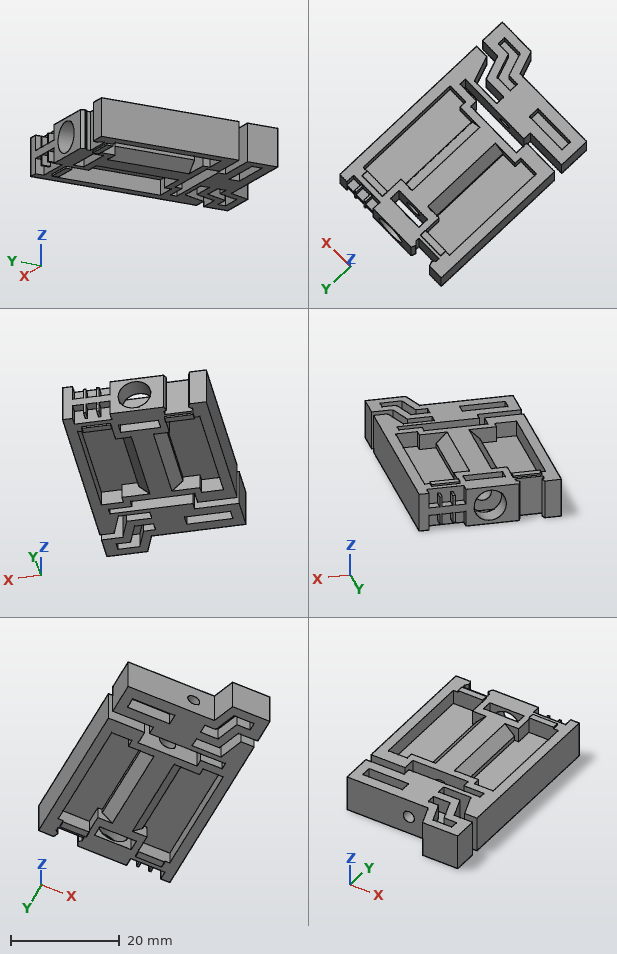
import cadquery as cq
import math


width = 27.0
length = 41.5
total_height = 8.2
pad_height = 0.353
thickness = total_height - 2 * pad_height
half_width = width / 2
half_thickness = thickness / 2

pocket_depth = 3.0
side_wall = 2.05

pocket_outer = half_width - side_wall
pocket_front = 15.27
pocket_back = 37.45
ridge_front = 16.72
ridge_back = 33.95
ridge_half_width = 4.15
ridge_chamfer = 2.08
head_half_width = 5.05
foot_half_width = 7.35

pad_outer = 10.45
pad_length = 1.3

nut_slot_width = 7.5
nut_slot_front = 35.7
nut_slot_back = 37.85
arm_bore_diameter = 2.4
ridge_bore_diameter = 3.3
back_bore_diameter = 6.1

gap_half_width = 6.05
gap_back = 15.2
gap_left_back = 12.55
gap_left_front = 10.75
arm_step_x = -5.15
arm_back = 12.35
gap_right_back = 13.7
gap_right_end = 10.45

slant_tangent = math.tan(math.radians(20))
arm_front = 4.35
arm_slant_x = 4.25
band_left = 3.15
groove_slants = (1.8, 3.78)
hook_gap_slants = (5.5, 7.4)
groove_upper_leg = (6.1, 7.9)
groove_lower_leg = (1.75, 3.35)
groove_right = 11.1
hook_gap_upper_leg = (9.6, 11.37)
hook_gap_lower_leg = (5.05, 6.55)

arm_recess_right = -2.82
arm_recess_front = 6.55
arm_recess_back = 8.7

notch_x = -7.93
notch_mouth = (2.45, 0.0)
notch_nibs = ((2.1, 0.8), (2.1, 1.0))
notch_shoulder = (2.65, 1.45)
notch_depth = 2.2

channel_left = 4.6
channel_width = 2.05
channel_rib = 0.45
channel_count = 3
channel_length = 1.75
rib_drop = 1.0


def box_between(x_range, y_range, z_range):
    size = [end - start for start, end in (x_range, y_range, z_range)]
    return cq.Workplane("XY").box(*size, centered=False).translate((x_range[0], y_range[0], z_range[0]))


def prism(points, z_range):
    bottom, top = z_range
    return cq.Workplane("XY").workplane(offset=bottom).polyline(points).close().extrude(top - bottom)


def mirrored(points):
    """Close a right-hand outline with its reflection in the YZ plane."""
    return points + [(-x, y) for x, y in reversed(points)]


def slant_point(y, offset):
    return (arm_slant_x + offset + (arm_front - y) * slant_tangent, y)


def jogged_band(x_right, upper_leg, lower_leg, slants, z_range):
    """Band with a left leg, a slanted middle and a right leg nearer the front."""
    upper_front, upper_back = upper_leg
    lower_front, lower_back = lower_leg
    front_slant, back_slant = slants
    outline = [
        (band_left, upper_front),
        slant_point(upper_front, front_slant),
        slant_point(lower_front, front_slant),
        (x_right, lower_front),
        (x_right, lower_back),
        slant_point(lower_back, back_slant),
        slant_point(upper_back, back_slant),
        (band_left, upper_back),
    ]
    return prism(outline, z_range)


def y_cylinder(diameter, front, back):
    return cq.Workplane("XZ", origin=(0, front, 0)).circle(diameter / 2).extrude(front - back)


through = (-half_thickness, half_thickness)
upper_recess = (half_thickness - pocket_depth, half_thickness)


def make_block():
    outline = [
        (-half_width, arm_front),
        slant_point(arm_front, 0),
        slant_point(0, 0),
        (half_width, 0),
        (half_width, length),
        (-half_width, length),
    ]
    return prism(outline, through)


def make_flex_gap():
    outline = [
        (-half_width, gap_left_front),
        (arm_step_x, gap_left_front),
        (arm_step_x, arm_back),
        (gap_right_end, arm_back),
        (gap_right_end, gap_right_back),
        (gap_half_width, gap_right_back),
        (gap_half_width, gap_back),
        (-gap_half_width, gap_back),
        (-gap_half_width, gap_left_back),
        (-half_width, gap_left_back),
    ]
    return prism(outline, through)


def make_notch():
    side = [notch_mouth, *notch_nibs, notch_shoulder, (notch_shoulder[0], notch_depth)]
    outline = mirrored([(x, -depth) for x, depth in side])
    return prism(outline, through).translate((notch_x, length, 0))


def make_main_pockets():
    floor, top = upper_recess
    outline = [
        (foot_half_width, pocket_front),
        (pocket_outer, pocket_front),
        (pocket_outer, pocket_back),
        (head_half_width, pocket_back),
        (head_half_width, ridge_back),
        (ridge_half_width, ridge_back),
        (ridge_half_width, ridge_front),
        (foot_half_width, ridge_front),
    ]
    chamfer = (
        cq.Workplane("XZ", origin=(0, ridge_front, 0))
        .moveTo(ridge_half_width, top)
        .lineTo(ridge_half_width - ridge_chamfer, top)
        .lineTo(ridge_half_width, top - ridge_chamfer)
        .close()
        .extrude(ridge_front - ridge_back)
    )
    right_pocket = prism(outline, (floor, top)).union(chamfer)
    return right_pocket.union(right_pocket.mirror("YZ"))


def make_channels():
    floor, top = upper_recess
    pitch = channel_width + channel_rib
    y_range = (length - channel_length, length)
    right = channel_left + channel_count * pitch - channel_rib
    channels = box_between((channel_left, right), y_range, (top - rib_drop, top))
    for index in range(channel_count):
        left = channel_left + index * pitch
        channels = channels.union(box_between((left, left + channel_width), y_range, (floor, top)))
    return channels


def make_pads():
    y_range = (pocket_back, pocket_back + pad_length)
    z_range = (-total_height / 2, total_height / 2)
    right_pad = box_between((head_half_width, pad_outer), y_range, z_range)
    return right_pad.union(right_pad.mirror("YZ"))


def make_arm_recess():
    x_range = (-half_width + side_wall, arm_recess_right)
    return box_between(x_range, (arm_recess_front, arm_recess_back), upper_recess)


hook_gap = jogged_band(half_width, hook_gap_upper_leg, hook_gap_lower_leg, hook_gap_slants, through)
nut_slot = box_between(
    (-nut_slot_width / 2, nut_slot_width / 2), (nut_slot_front, nut_slot_back), through
)
result = make_block().union(make_pads())
for opening in (make_flex_gap(), hook_gap, nut_slot, make_notch()):
    result = result.cut(opening)

groove = jogged_band(groove_right, groove_upper_leg, groove_lower_leg, groove_slants, upper_recess)
for recess in (make_main_pockets(), make_channels(), make_arm_recess(), groove):
    result = result.cut(recess).cut(recess.mirror("XY"))

result = result.cut(y_cylinder(arm_bore_diameter, 0, arm_back))
result = result.cut(y_cylinder(ridge_bore_diameter, arm_back, nut_slot_back))
result = result.cut(y_cylinder(back_bore_diameter, nut_slot_back, length))